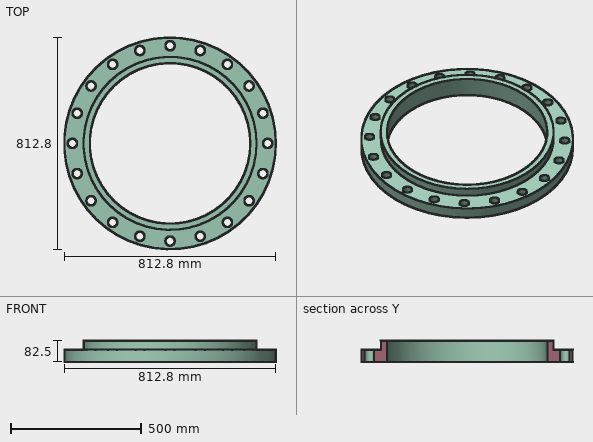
import cadquery as cq

flange_diameter = 812.8
hub_diameter = 663.6
bore_diameter = 615.0
total_height = 82.55
flange_thickness = 47.6

bolt_count = 20
bolt_circle_diameter = 749.3
bolt_hole_diameter = 34.9


def flange_body():
    """Flat ring with a raised hub on top."""
    flange = cq.Workplane("XY").circle(flange_diameter / 2).extrude(flange_thickness)
    hub = cq.Workplane("XY").circle(hub_diameter / 2).extrude(total_height)
    return flange.union(hub)


def bore():
    """Straight bore through the full height."""
    return cq.Workplane("XY").circle(bore_diameter / 2).extrude(total_height)


def bolt_holes():
    """Through holes evenly spaced on the bolt circle, the first on +X."""
    return (
        cq.Workplane("XY")
        .polarArray(bolt_circle_diameter / 2, 0, 360, bolt_count)
        .circle(bolt_hole_diameter / 2)
        .extrude(flange_thickness)
    )


result = flange_body().cut(bore()).cut(bolt_holes())